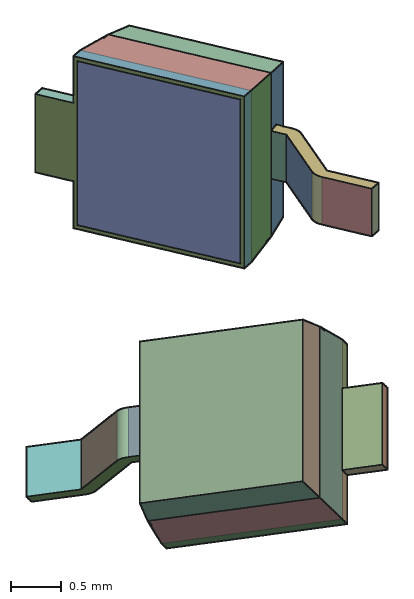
import cadquery as cq
import math

package_width = 1.91
parting_inset = 0.045
top_inset = 0.095
package_height = 1.02
metal_thickness = 0.15
parting_height = 0.66

parting_width = package_width - 2 * parting_inset
top_width = package_width - 2 * top_inset

tab_length = 0.425
tab_width = 0.87

lead_width = 0.53
lead_knee = 1.08
lead_bend_angle = 45
lead_bend_radius = 0.20
total_length = 3.76

lead_end = total_length - tab_length - package_width / 2


def square_prism(width, y_start, y_end):
    """Square block with straight sides between two Y levels."""
    return cq.Workplane("XZ", origin=(0, y_start, 0)).rect(width, width).extrude(y_start - y_end)


def square_taper(start_width, end_width, y_start, y_end):
    """Square block whose four sides lean evenly between two Y levels."""
    return (
        cq.Workplane("XZ", origin=(0, y_start, 0))
        .rect(start_width, start_width)
        .workplane(offset=y_start - y_end)
        .rect(end_width, end_width)
        .loft(ruled=True)
    )


def make_core():
    """Straight-sided block from the mounting face up to the parting plane."""
    return square_prism(parting_width, 0, parting_height)


def make_frame():
    """Skirt around the core, with the terminal tab flush with the mounting face."""
    foot = square_prism(package_width, 0, metal_thickness)
    skirt = square_taper(package_width, parting_width, metal_thickness, parting_height)
    tab = cq.Workplane("XY").box(
        tab_length + package_width / 2, metal_thickness, tab_width, centered=(False, False, True)
    ).translate((-package_width / 2 - tab_length, 0, 0))
    return foot.union(skirt).union(tab).cut(make_core())


def make_lead():
    """Z-bent strip: out of the housing at the parting plane, down to a foot at Y = 0."""
    lead_top = parting_height + metal_thickness
    half_angle = math.radians(lead_bend_angle / 2)
    corner_shift = metal_thickness * math.tan(half_angle)
    run = parting_height / math.tan(math.radians(lead_bend_angle))
    upper_outside = lead_knee + corner_shift
    lower_outside = lead_knee + run
    lower_inside = lower_outside + corner_shift

    strip = (
        cq.Workplane("XY", origin=(0, 0, -lead_width / 2))
        .moveTo(0, parting_height)
        .lineTo(lead_knee, parting_height)
        .lineTo(lower_outside, 0)
        .lineTo(lead_end, 0)
        .lineTo(lead_end, metal_thickness)
        .lineTo(lower_inside, metal_thickness)
        .lineTo(upper_outside, lead_top)
        .lineTo(0, lead_top)
        .close()
        .extrude(lead_width)
    )
    outside_corners = [(upper_outside, lead_top, 0), (lower_outside, 0, 0)]
    for corner in outside_corners:
        strip = strip.edges(cq.selectors.NearestToPointSelector(corner)).fillet(lead_bend_radius)
    return strip


def make_housing():
    """Tapered upper half with the core below it and the lead standing out of its side."""
    upper = square_taper(parting_width, top_width, parting_height, package_height)
    return upper.union(make_core()).union(make_lead())


frame = make_frame()
housing = make_housing()

result = cq.Compound.makeCompound([frame.solids().val(), housing.solids().val()])